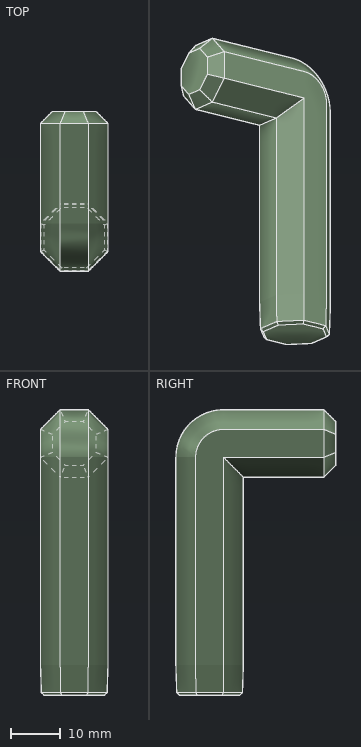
import cadquery as cq
import math

width = 13.6
depth = 32.1
height = 57.3
short_end_chamfer = 2.4
tip_length = 6.1
tip_chamfer = 0.6
tip_inset = 0.2

flat = width * math.tan(math.pi / 8)
corner = (width - flat) / 2
bend_radius = flat + corner
bend_y = bend_radius - width / 2
bend_z = height - bend_radius
short_axis_z = height - width / 2
short_end_y = depth - width / 2


def octagon(origin, normal, across_flats):
    """Octagon centred on origin, with flats facing the principal axes."""
    half = across_flats / 2
    half_flat = half * math.tan(math.pi / 8)
    points = [
        (half, -half_flat), (half, half_flat), (half_flat, half), (-half_flat, half),
        (-half, half_flat), (-half, -half_flat), (-half_flat, -half), (half_flat, -half),
    ]
    plane = cq.Plane(origin=origin, xDir=(1, 0, 0), normal=normal)
    return cq.Workplane(plane).polyline(points).close()


def tapered_octagon(origin, normal, start_width, length, end_width):
    """Octagonal frustum that starts at origin and runs along normal."""
    start = cq.Vector(*origin)
    end = start + cq.Vector(*normal) * length
    start_wire = octagon(start, normal, start_width).val()
    end_wire = octagon(end, normal, end_width).val()
    return cq.Workplane(cq.Solid.makeLoft([start_wire, end_wire], True))


def make_long_leg():
    tip_width = width - 2 * tip_inset
    shaft = octagon((0, 0, tip_length), (0, 0, 1), width).extrude(bend_z - tip_length)
    tip = tapered_octagon(
        (0, 0, tip_length), (0, 0, -1), width, tip_length - tip_chamfer, tip_width
    )
    tip_end = tapered_octagon(
        (0, 0, tip_chamfer), (0, 0, -1), tip_width, tip_chamfer, tip_width - 2 * tip_chamfer
    )
    return shaft.union(tip).union(tip_end)


def make_short_leg():
    chamfer_y = short_end_y - short_end_chamfer
    shaft = octagon((0, bend_y, short_axis_z), (0, 1, 0), width).extrude(chamfer_y - bend_y)
    end = tapered_octagon(
        (0, chamfer_y, short_axis_z), (0, 1, 0), width, short_end_chamfer, width - 2 * short_end_chamfer
    )
    return shaft.union(end)


def make_bend():
    """Quarter turn of the octagon's outer part about the inner edge of its side flats."""
    section = [
        (-width / 2, 0), (width / 2, 0), (width / 2, -flat),
        (flat / 2, -bend_radius), (-flat / 2, -bend_radius), (-width / 2, -flat),
    ]
    return (
        cq.Workplane("XY", origin=(0, bend_y, bend_z))
        .polyline(section)
        .close()
        .revolve(90, (0, 0), (-1, 0))
    )


result = make_long_leg().union(make_short_leg()).union(make_bend())